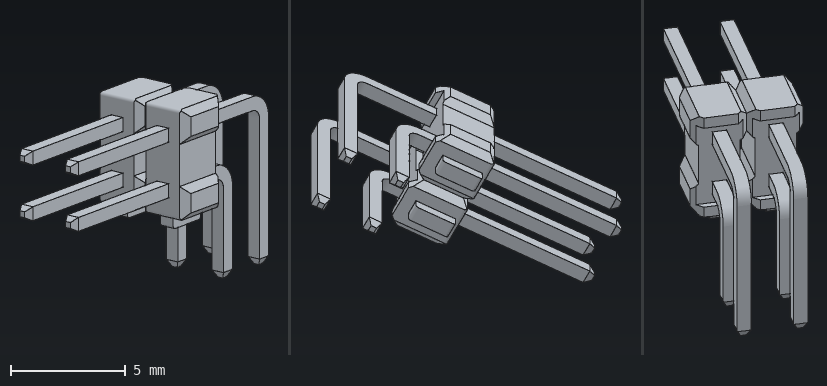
import cadquery as cq

pitch = 2.54
columns = 2

housing_width = pitch
housing_height = 2 * pitch
core_width = 1.87
core_depth = pitch
lip_depth = 0.29
lip_height = 0.52
front_edge_radius = 0.19
full_depth = core_depth + lip_depth

lug_height = 1.58
lug_end_slope = 0.35
lug_front_slope = 0.37
rear_chamfer = 0.5

foot_width = 0.71
foot_depth = 1.95
foot_height = 0.55
foot_front = 0.29
foot_edge_radius = 0.15

pin_width = 0.65
pin_tip_width = 0.27
pin_taper = 0.35
bend_inner_radius = 0.5
bend_outer_radius = bend_inner_radius + pin_width
pin_front = -6.68
pin_bottom = -3.75
long_pin_back = 7.06
row_heights = [housing_height / 2 - pitch / 2, housing_height / 2 + pitch / 2]
pin_backs = [long_pin_back - pitch, long_pin_back]


def make_side_envelope():
    """Housing side profile, full width, with the recess between the rear lips."""
    block = (
        cq.Workplane("XY")
        .box(housing_width, full_depth, housing_height, centered=(True, False, False))
        .faces("<Y")
        .edges("|X")
        .fillet(front_edge_radius)
    )
    recess = (
        cq.Workplane("XY")
        .box(housing_width, lip_depth, housing_height - 2 * lip_height, centered=(True, False, False))
        .translate((0, core_depth, lip_height))
    )
    return block.cut(recess)


def make_plan_envelope():
    """Housing outline in plan, with sloped front corners and chamfered rear corners."""
    half_core = core_width / 2
    half_width = housing_width / 2
    half_back = half_width - rear_chamfer
    return (
        cq.Workplane("XY")
        .moveTo(-half_core, 0)
        .lineTo(half_core, 0)
        .lineTo(half_width, lug_front_slope)
        .lineTo(half_width, full_depth - rear_chamfer)
        .lineTo(half_back, full_depth)
        .lineTo(-half_back, full_depth)
        .lineTo(-half_width, full_depth - rear_chamfer)
        .lineTo(-half_width, lug_front_slope)
        .close()
        .extrude(housing_height)
    )


def make_lug_pair(base_height):
    """Prism across the housing whose two ends are the lugs starting at base_height."""
    half_core = core_width / 2
    half_width = housing_width / 2
    top = base_height + lug_height
    return (
        cq.Workplane("XZ")
        .moveTo(-half_core, base_height)
        .lineTo(half_core, base_height)
        .lineTo(half_width, base_height + lug_end_slope)
        .lineTo(half_width, top - lug_end_slope)
        .lineTo(half_core, top)
        .lineTo(-half_core, top)
        .lineTo(-half_width, top - lug_end_slope)
        .lineTo(-half_width, base_height + lug_end_slope)
        .close()
        .extrude(-full_depth)
    )


def make_foot():
    """Standoff foot with rounded lower front and rear edges."""
    return (
        cq.Workplane("XY")
        .box(foot_width, foot_depth, foot_height, centered=(True, False, False))
        .faces("<Z")
        .edges("|X")
        .fillet(foot_edge_radius)
        .translate((0, foot_front, -foot_height))
    )


def make_tip(plane):
    """Tapered pin tip, growing from its base along the normal of the given plane."""
    return (
        cq.Workplane(plane)
        .rect(pin_width, pin_width)
        .workplane(offset=pin_taper)
        .rect(pin_tip_width, pin_tip_width)
        .loft(ruled=True)
    )


def make_pin(column_x, row_height, back):
    """Square pin running in from the front, bent down at the rear, with both ends tapered."""
    shaft_front = pin_front + pin_taper
    leg_bottom = pin_bottom + pin_taper
    bend_y = back - bend_outer_radius
    top = row_height + pin_width / 2
    bend_z = top - bend_outer_radius
    axis_drop = bend_z - row_height
    shaft_length = bend_y - shaft_front
    leg_length = bend_z - leg_bottom
    leg_y = back - pin_width / 2

    bar = (
        cq.Workplane("XZ", origin=(column_x, shaft_front, row_height))
        .rect(pin_width, pin_width)
        .extrude(-shaft_length)
    )
    bend = (
        cq.Workplane("XZ", origin=(column_x, bend_y, row_height))
        .rect(pin_width, pin_width)
        .revolve(90, (0.14, axis_drop, 0), (0, axis_drop, 0))
    )
    leg = (
        cq.Workplane("XY", origin=(column_x, leg_y, leg_bottom))
        .rect(pin_width, pin_width)
        .extrude(leg_length)
    )
    front_tip = make_tip(cq.Plane((column_x, shaft_front, row_height), (1, 0, 0), (0, -1, 0)))
    leg_tip = make_tip(cq.Plane((column_x, leg_y, leg_bottom), (1, 0, 0), (0, 0, -1)))
    return bar.union(bend).union(leg).union(front_tip).union(leg_tip)


def make_housing(column_x, pins):
    """Housing with its lugs and foot, pierced by the pins of its column."""
    core = cq.Workplane("XY").box(core_width, full_depth, housing_height, centered=(True, False, False))
    lower_lugs = make_lug_pair(0)
    upper_lugs = make_lug_pair(housing_height - lug_height)
    body = core.union(lower_lugs).union(upper_lugs)
    body = body.intersect(make_plan_envelope()).intersect(make_side_envelope())
    body = body.union(make_foot()).translate((column_x, 0, 0))
    for pin in pins:
        body = body.cut(pin)
    return body


bodies = []
for column in range(columns):
    column_x = (column - (columns - 1) / 2) * pitch
    pins = [make_pin(column_x, height, back) for height, back in zip(row_heights, pin_backs)]
    housing = make_housing(column_x, pins)
    bodies.append(housing.solids().val())
    bodies.extend(pin.solids().val() for pin in pins)

result = cq.Compound.makeCompound(bodies)